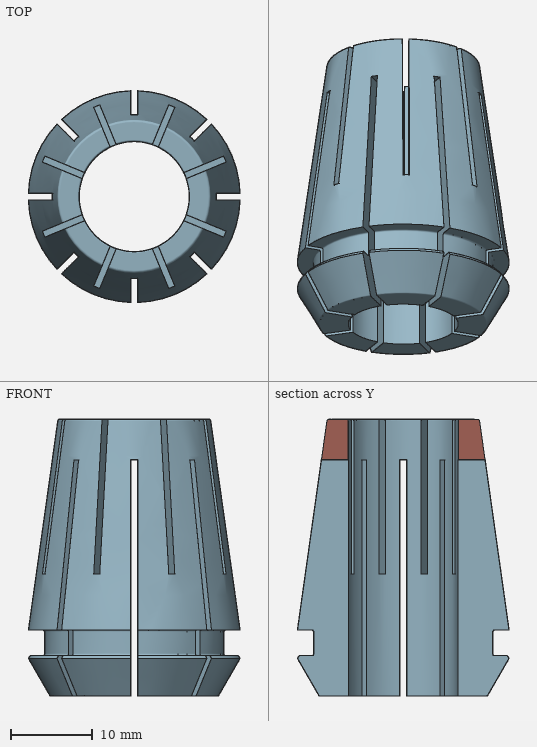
import cadquery as cq
import math

height = 34.0
outer_diameter = 26.0
bore_diameter = 13.49

taper_half_angle = 8.0
taper_base_z = 8.1

groove_diameter = 22.0
groove_base_z = 5.0
groove_fillet = 0.2
nose_half_angle = 30.0

top_edge_fillet = 0.3
bore_mouth_fillet = 0.2
nose_rim_chamfer_width = 0.25
nose_rim_chamfer_height = 0.35
nose_bottom_fillet = 0.2

slot_width = 0.8
slots_per_end = 8
bottom_slot_top_z = 29.0
top_slot_base_z = 15.0
slot_overrun = 1.0

outer_radius = outer_diameter / 2
groove_radius = groove_diameter / 2
bore_radius = bore_diameter / 2
taper_top_radius = outer_radius - (height - taper_base_z) * math.tan(math.radians(taper_half_angle))
nose_rim_z = groove_base_z - nose_rim_chamfer_height
nose_bottom_radius = outer_radius - nose_rim_z * math.tan(math.radians(nose_half_angle))
slot_pitch = 360 / slots_per_end


def make_body():
    """Revolve the taper, groove and nose cone about Z, then round the circular edges."""
    profile = [
        (0, 0),
        (nose_bottom_radius, 0),
        (outer_radius, nose_rim_z),
        (outer_radius - nose_rim_chamfer_width, groove_base_z),
        (groove_radius, groove_base_z),
        (groove_radius, taper_base_z),
        (outer_radius, taper_base_z),
        (taper_top_radius, height),
        (0, height),
    ]
    body = cq.Workplane("XZ").polyline(profile).close().revolve(360, (0, 0, 0), (0, 1, 0))
    body = body.faces(">Z").edges().fillet(top_edge_fillet)
    body = body.faces("<Z").edges().fillet(nose_bottom_fillet)
    return body.faces("%CYLINDER").edges("%CIRCLE").fillet(groove_fillet)


def cut_bore(body):
    """Cut the through bore and round its mouth at the top face."""
    bore = cq.Workplane("XY").circle(bore_radius).extrude(height)
    bored = body.cut(bore)
    return bored.faces(">Z").edges(cq.selectors.RadiusNthSelector(0)).fillet(bore_mouth_fillet)


def make_slots(base_z, top_z, first_angle):
    """Return a ring of radial slot blades spanning base_z to top_z, starting at first_angle."""
    blade = cq.Workplane("XY").box(
        outer_radius + slot_overrun, slot_width, top_z - base_z, centered=(False, True, False)
    ).translate((0, 0, base_z))
    slots = cq.Workplane("XY")
    for index in range(slots_per_end):
        angle = first_angle + index * slot_pitch
        slots = slots.add(blade.rotate((0, 0, 0), (0, 0, 1), angle))
    return slots.combine()


bottom_slots = make_slots(-slot_overrun, bottom_slot_top_z, 0)
top_slots = make_slots(top_slot_base_z, height + slot_overrun, slot_pitch / 2)

result = cut_bore(make_body()).cut(bottom_slots).cut(top_slots)